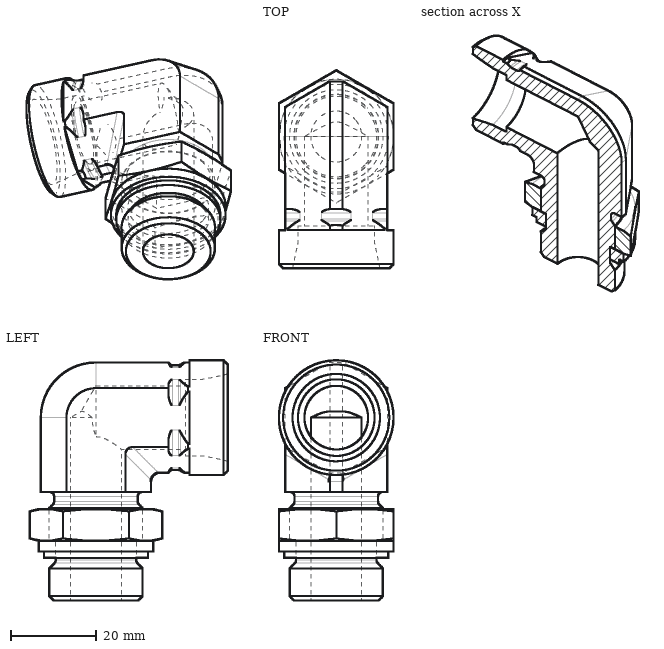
import cadquery as cq
import math


BLOCK_ACROSS_FLATS = 24.0
BLOCK_CORNER_REACH = 13.0
BLOCK_BOTTOM_Z = -17.5
INNER_BEND_RADIUS = 2.0
MITRE_TOLERANCE = 0.005

COLLAR_DIA = 27.0
COLLAR_BACK_Y = -22.0
COLLAR_FACE_Y = -31.0
COLLAR_CHAMFER = 1.0

UNDERCUT_RADIUS = 1.0
COLLAR_UNDERCUT_DIA = 24.7
COLLAR_UNDERCUT_START_Y = -18.0
COLLAR_UNDERCUT_END_Y = -19.4
COLLAR_UNDERCUT_ANGLE = 30
STUD_UNDERCUT_ANGLE = 45

STUD_DIA = 22.0
STUD_BOTTOM_Z = -43.0
STUD_CHAMFER = 1.0
UPPER_NECK_DIA = 19.7
UPPER_NECK_END_Z = -19.7
LOWER_NECK_DIA = 19.0
LOWER_NECK_END_Z = -33.5

SOCKET_MOUTH_DIA = 20.55
SOCKET_DIA = 18.0
SOCKET_DEPTH = 10.0
SOCKET_CONE_HALF_ANGLE = 12
FLOW_BORE_DIA = 15.0
STUD_BORE_DIA = 12.0
DRILL_TIP_HALF_ANGLE = 60

NUT_ACROSS_FLATS = 27.0
NUT_TOP_Z = -21.45
NUT_BOTTOM_Z = -29.0
NUT_CHAMFER_DIA = 26.9
NUT_CHAMFER_ANGLE = 15

WASHER_DIA = 27.0
WASHER_STEP_DIA = 24.5
WASHER_STEP_Z = -31.5
WASHER_BOTTOM_Z = -33.0


def tan_deg(angle):
    return math.tan(math.radians(angle))


def block_section(plane, whole):
    """Hexagon with flats at +-X, corners cut at BLOCK_CORNER_REACH; whole, or its upper half only."""
    half_flat = BLOCK_ACROSS_FLATS / 2
    side_reach = half_flat / math.sqrt(3)
    tip_half_width = (2 * side_reach - BLOCK_CORNER_REACH) * math.sqrt(3)
    upper = [
        (half_flat, side_reach),
        (tip_half_width, BLOCK_CORNER_REACH),
        (-tip_half_width, BLOCK_CORNER_REACH),
        (-half_flat, side_reach),
    ]
    if whole:
        lower = [(-x, -y) for x, y in upper]
    else:
        lower = [(-half_flat, 0), (half_flat, 0)]
    return cq.Workplane(plane).polyline(upper + lower).close()


def elbow_block():
    socket_arm = block_section("XZ", True).extrude(-COLLAR_BACK_Y)
    stud_arm = block_section("XY", True).extrude(BLOCK_BOTTOM_Z)
    outer_bend = block_section("XZ", False).revolve(90, (0, 0), (-1, 0))
    block = socket_arm.union(stud_arm).union(outer_bend).clean()

    def is_inner_bend(edge):
        """The mitre edges of the inner bend lie in the plane y = z, below the socket axis."""
        middle = edge.Center()
        return middle.z < 0 and math.isclose(middle.y, middle.z, abs_tol=MITRE_TOLERANCE)

    inner_edges = [edge for edge in block.edges().vals() if is_inner_bend(edge)]
    return block.newObject(inner_edges).fillet(INNER_BEND_RADIUS)


def add_runout(outline, floor_radius, floor_end, angle, outer_radius):
    """Continue a (radius, position) outline from an undercut floor, by a tangent arc and a cone
    that widens towards negative positions, up to outer_radius."""

    def arc_point(turn):
        turn = math.radians(turn)
        return (
            floor_radius + UNDERCUT_RADIUS * (1 - math.cos(turn)),
            floor_end - UNDERCUT_RADIUS * math.sin(turn),
        )

    arc_end = arc_point(angle)
    cone_end = arc_end[1] - (outer_radius - arc_end[0]) / tan_deg(angle)
    return (
        outline.lineTo(floor_radius, floor_end)
        .threePointArc(arc_point(angle / 2), arc_end)
        .lineTo(outer_radius, cone_end)
    )


def quarter_arc_to_floor(outline, floor_radius, top):
    """Continue an outline by a quarter arc from a face at position top down to an undercut floor."""
    inset = UNDERCUT_RADIUS * (1 - math.sqrt(0.5))
    return outline.threePointArc(
        (floor_radius + inset, top - inset), (floor_radius, top - UNDERCUT_RADIUS)
    )


def about_y(outline):
    """Revolve an outline drawn in XY around the Y axis."""
    return outline.close().revolve(360, (0, 0), (0, 1))


def about_z(outline):
    """Revolve an outline drawn in XZ or YZ around the Z axis."""
    return outline.close().revolve(360, (0, 0), (0, 1))


def collar():
    radius = COLLAR_DIA / 2
    ring = cq.Workplane("XZ", origin=(0, COLLAR_BACK_Y, 0)).circle(radius)
    return ring.extrude(COLLAR_BACK_Y - COLLAR_FACE_Y).faces("<Y").chamfer(COLLAR_CHAMFER)


def collar_undercut():
    """Ring that cuts only the corners of the hexagonal arm behind the collar."""
    floor_radius = COLLAR_UNDERCUT_DIA / 2
    top = COLLAR_UNDERCUT_START_Y + UNDERCUT_RADIUS
    clear_radius = BLOCK_ACROSS_FLATS
    outline = cq.Workplane("XY").moveTo(clear_radius, top).lineTo(floor_radius + UNDERCUT_RADIUS, top)
    outline = quarter_arc_to_floor(outline, floor_radius, top)
    outline = add_runout(
        outline, floor_radius, COLLAR_UNDERCUT_END_Y, COLLAR_UNDERCUT_ANGLE, COLLAR_DIA / 2
    )
    outline = outline.lineTo(COLLAR_DIA / 2, COLLAR_BACK_Y).lineTo(clear_radius, COLLAR_BACK_Y)
    return about_y(outline)


def stud():
    radius = STUD_DIA / 2
    upper_neck_radius = UPPER_NECK_DIA / 2
    lower_neck_radius = LOWER_NECK_DIA / 2
    outline = cq.Workplane("XZ").moveTo(0, BLOCK_BOTTOM_Z)
    outline = outline.lineTo(upper_neck_radius + UNDERCUT_RADIUS, BLOCK_BOTTOM_Z)
    outline = quarter_arc_to_floor(outline, upper_neck_radius, BLOCK_BOTTOM_Z)
    outline = add_runout(outline, upper_neck_radius, UPPER_NECK_END_Z, STUD_UNDERCUT_ANGLE, radius)
    outline = outline.lineTo(radius, NUT_BOTTOM_Z).lineTo(lower_neck_radius, NUT_BOTTOM_Z)
    outline = add_runout(outline, lower_neck_radius, LOWER_NECK_END_Z, STUD_UNDERCUT_ANGLE, radius)
    outline = outline.lineTo(radius, STUD_BOTTOM_Z + STUD_CHAMFER)
    outline = outline.lineTo(radius - STUD_CHAMFER, STUD_BOTTOM_Z).lineTo(0, STUD_BOTTOM_Z)
    return about_z(outline)


def socket_bore():
    """Tapered mouth, tube socket and flow bore, ending in a drill tip beyond the stud axis."""
    mouth_radius = SOCKET_MOUTH_DIA / 2
    radius = SOCKET_DIA / 2
    flow_radius = FLOW_BORE_DIA / 2
    cone_end = COLLAR_FACE_Y + (mouth_radius - radius) / tan_deg(SOCKET_CONE_HALF_ANGLE)
    shoulder = COLLAR_FACE_Y + SOCKET_DEPTH
    return about_y(
        cq.Workplane("XY").polyline([
            (0, COLLAR_FACE_Y),
            (mouth_radius, COLLAR_FACE_Y),
            (radius, cone_end),
            (radius, shoulder),
            (flow_radius, shoulder),
            (flow_radius, 0),
            (0, flow_radius / tan_deg(DRILL_TIP_HALF_ANGLE)),
        ])
    )


def stud_bore():
    """Bore up the stud, ending in a drill tip above the socket axis."""
    radius = STUD_BORE_DIA / 2
    return about_z(
        cq.Workplane("YZ").polyline([
            (0, STUD_BOTTOM_Z),
            (radius, STUD_BOTTOM_Z),
            (radius, 0),
            (0, radius / tan_deg(DRILL_TIP_HALF_ANGLE)),
        ])
    )


def make_elbow():
    body = elbow_block().cut(collar_undercut()).union(collar()).union(stud())
    return body.cut(socket_bore()).cut(stud_bore()).solids()


def make_nut():
    corner_radius = NUT_ACROSS_FLATS / math.sqrt(3)
    chamfer_radius = NUT_CHAMFER_DIA / 2
    chamfer_drop = (corner_radius - chamfer_radius) * tan_deg(NUT_CHAMFER_ANGLE)
    height = NUT_TOP_Z - NUT_BOTTOM_Z
    hexagon = (
        cq.Workplane("XY", origin=(0, 0, NUT_BOTTOM_Z))
        .polygon(6, 2 * corner_radius)
        .extrude(height)
        .rotate((0, 0, 0), (0, 0, 1), 90)
    )
    chamfer_envelope = about_z(
        cq.Workplane("XZ").polyline([
            (0, NUT_BOTTOM_Z),
            (chamfer_radius, NUT_BOTTOM_Z),
            (corner_radius, NUT_BOTTOM_Z + chamfer_drop),
            (corner_radius, NUT_TOP_Z - chamfer_drop),
            (chamfer_radius, NUT_TOP_Z),
            (0, NUT_TOP_Z),
        ])
    )
    nut = hexagon.intersect(chamfer_envelope).faces(">Z").workplane().hole(STUD_DIA)
    return nut.solids()


def make_washer():
    bore_radius = LOWER_NECK_DIA / 2
    return about_z(
        cq.Workplane("XZ").polyline([
            (bore_radius, NUT_BOTTOM_Z),
            (WASHER_DIA / 2, NUT_BOTTOM_Z),
            (WASHER_DIA / 2, WASHER_STEP_Z),
            (WASHER_STEP_DIA / 2, WASHER_STEP_Z),
            (WASHER_STEP_DIA / 2, WASHER_BOTTOM_Z),
            (bore_radius, WASHER_BOTTOM_Z),
        ])
    )


elbow = make_elbow()
lock_nut = make_nut()
washer = make_washer()

result = cq.Compound.makeCompound([elbow.val(), lock_nut.val(), washer.val()])